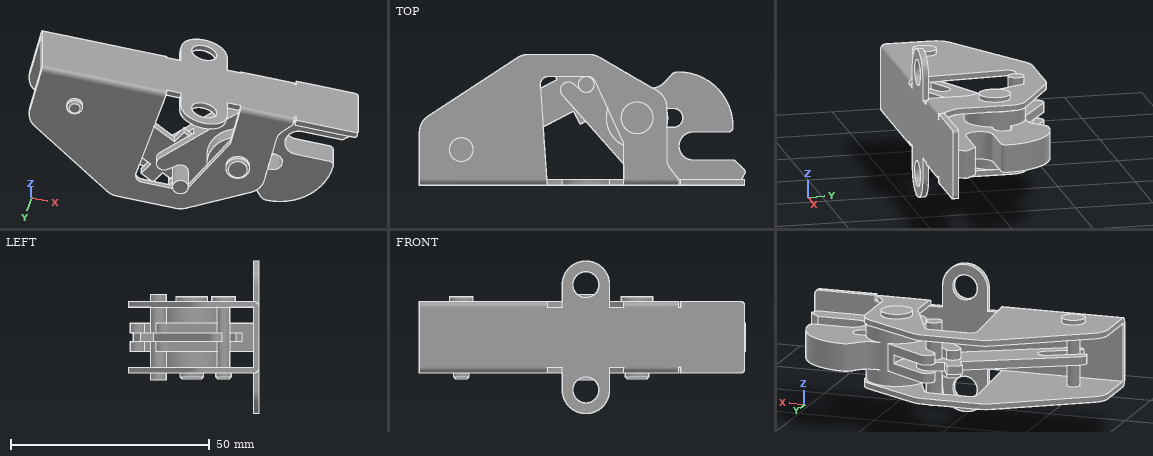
import cadquery as cq
import math


SHEET = 1.5
HOUSING_LENGTH = 82.0
HOUSING_WIDTH = 18.1
WALL_HEIGHT = 33.0
WALL_FOOT_END = 65.4
RELIEF = 0.5
TONGUE_CORNER = 1.0
LUG_X = 42.0
LUG_WIDTH = 12.0
LUG_SPAN = 38.5
LUG_HOLE = 6.5
HALF_WIDTH = HOUSING_WIDTH / 2
HALF_INSIDE = HALF_WIDTH - SHEET

WALL_END = 62.4
WALL_OUTLINE = [
    (0, 0, 0),
    (0, 16.0, 5),
    (26.0, WALL_HEIGHT, 5),
    (44.2, WALL_HEIGHT, 5),
    (WALL_END, 22.4, 5),
    (WALL_END, 5.3, 4),
    (WALL_FOOT_END, SHEET, 0),
    (WALL_FOOT_END, 0, 0),
]
WINDOW_END = 51.5
WINDOW_TOP = 27.4
WINDOW_OUTLINE = [
    (32.3, 0, 0),
    (32.2, SHEET, 0),
    (30.4, WINDOW_TOP, 2),
    (43.8, WINDOW_TOP, 2),
    (WINDOW_END, 10.6, 2),
    (WINDOW_END, 0, 0),
]

PIVOT = (54.9, 17.0)
PIVOT_SHAFT = 5.0
PIVOT_HEAD = 8.0
PIVOT_TAIL = 6.0
ANCHOR = (10.6, 9.0)
ANCHOR_SHAFT = 3.2
ANCHOR_HEAD = 6.0
ANCHOR_TAIL = 4.0
HEAD_HEIGHT = 1.2
TAIL_HEIGHT = 1.5
TAIL_CHAMFER = 0.6

PIN = (42.1, 25.4)
PIN_DIAMETER = 4.0
PIN_LENGTH = 21.6
LATCH_THICKNESS = 2.2
LATCH_WIDTH = 9.0
LATCH_OVERHANG = 3.0
LATCH_SLOT = 4.0
LATCH_TRAVEL = 7.0
FORK_TIP_RADIUS = 2.0
SHOULDER_WIDTH = 16.4
SHOULDER_LENGTH = 4.0
SHOULDER_TO_PIN = 6.0

JAW_THICKNESS = 7.2
JAW_HUB = 15.5
JAW_TIP_X = 82.35
JAW_TIP_Y = 3.6
JAW_TIP_RADIUS = 0.8
JAW_TOE_X = 81.3
LIP_CHAMFER_X = 79.4
THROAT_WIDTH = 7.0
THROAT_Y = 9.9
THROAT_END = 65.5
CROWN_RADIUS = 13.8
CROWN_TOP = 28.6
CROWN_END = 79.1
CROWN_START = 64.2
CROWN_START_RADIUS = 2.4
CROWN_LIP_RADIUS = 1.25
NECK_Y = 24.5
NECK_START = 55.0
NECK_END = 60.5
NECK_RADIUS = 5.0
NAPE = (50.5, 27.5)
FINGER_RADIUS = 2.0
FORK_ANGLE = 139.0
LOWER_FINGER_LENGTH = 2.5
UPPER_FINGER_LENGTH = 3.2
EYE_WIDTH = 4.7
EYE_START = 62.4
EYE_END = 66.4
LATCH_RECESS_RADIUS = 10.4

TOUCHING = 1e-6


def rounded_polygon(corners):
    """Closed outline through (x, y, radius) corners, each rounded by a tangent arc."""
    path = None
    last = None
    count = len(corners)
    for i in range(count):
        x, y, radius = corners[i]
        corner = cq.Vector(x, y)
        to_previous = (cq.Vector(*corners[i - 1][:2]) - corner).normalized()
        to_next = (cq.Vector(*corners[(i + 1) % count][:2]) - corner).normalized()
        half_angle = to_previous.getAngle(to_next) / 2
        setback = radius / math.tan(half_angle)
        start = corner + to_previous * setback
        end = corner + to_next * setback
        bisector = (to_previous + to_next).normalized()
        middle = corner + bisector * (radius / math.sin(half_angle) - radius)
        if path is None:
            path = cq.Workplane("XY").moveTo(start.x, start.y)
        elif (start - last).Length > TOUCHING:
            path = path.lineTo(start.x, start.y)
        if radius > 0:
            path = path.threePointArc((middle.x, middle.y), (end.x, end.y))
        last = end
    return path.close()


def plate(corners, thickness):
    """Flat plate of a rounded outline, centred on the middle plane."""
    return rounded_polygon(corners).extrude(thickness / 2, both=True)


def disc(centre, diameter, thickness):
    """Cylinder along Z, centred on the middle plane."""
    return cq.Workplane("XY").center(*centre).circle(diameter / 2).extrude(thickness / 2, both=True)


def slot(start, end, width, thickness):
    """Round-ended bar between two centres, centred on the middle plane."""
    run = cq.Vector(*end) - cq.Vector(*start)
    angle = math.degrees(math.atan2(run.y, run.x))
    return (
        cq.Workplane("XY")
        .center((start[0] + end[0]) / 2, (start[1] + end[1]) / 2)
        .transformed(rotate=(0, 0, angle))
        .slot2D(run.Length + width, width)
        .extrude(thickness / 2, both=True)
    )


def offset_point(origin, angle, along, across):
    """Point a distance along a direction and across it (to its left)."""
    cosine = math.cos(math.radians(angle))
    sine = math.sin(math.radians(angle))
    return (
        origin[0] + along * cosine - across * sine,
        origin[1] + along * sine + across * cosine,
    )


def tangent_point(outside, centre, radius, side):
    """Where a line from an outside point touches a circle; side is +1 (left) or -1 (right)."""
    to_outside = cq.Vector(*outside) - cq.Vector(*centre)
    angle = math.degrees(math.atan2(to_outside.y, to_outside.x))
    angle -= side * math.degrees(math.acos(radius / to_outside.Length))
    return offset_point(centre, angle, radius, 0)


def make_housing():
    channel = (
        cq.Workplane("XY")
        .box(WALL_FOOT_END, WALL_HEIGHT, HOUSING_WIDTH, centered=(False, False, True))
        .edges("|X and <Y")
        .fillet(SHEET)
    )
    inside = (
        cq.Workplane("XY")
        .box(WALL_FOOT_END, WALL_HEIGHT, 2 * HALF_INSIDE, centered=(False, False, True))
        .translate((0, SHEET, 0))
    )
    body = channel.intersect(plate(WALL_OUTLINE, HOUSING_WIDTH)).cut(inside)

    base_strip = (
        cq.Workplane("XY")
        .box(HOUSING_LENGTH, SHEET, 2 * HALF_INSIDE, centered=(False, False, True))
    )
    body = body.cut(plate(WINDOW_OUTLINE, HOUSING_WIDTH)).union(base_strip)

    tongue_start = WALL_FOOT_END + RELIEF
    tongue = (
        cq.Workplane("XY")
        .box(HOUSING_LENGTH - tongue_start, SHEET, HOUSING_WIDTH, centered=(False, False, True))
        .translate((tongue_start, 0, 0))
        .edges("|Y and >X")
        .fillet(TONGUE_CORNER)
    )
    body = body.union(tongue)

    hole_spacing = LUG_SPAN - LUG_WIDTH
    lugs = (
        cq.Workplane("XZ", origin=(LUG_X, SHEET, 0))
        .slot2D(LUG_SPAN, LUG_WIDTH, 90)
        .extrude(SHEET)
    )
    holes = (
        cq.Workplane("XZ", origin=(LUG_X, SHEET, 0))
        .pushPoints([(0, -hole_spacing / 2), (0, hole_spacing / 2)])
        .circle(LUG_HOLE / 2)
        .extrude(SHEET)
    )
    body = body.union(lugs).cut(holes)

    body = body.cut(disc(PIVOT, PIVOT_SHAFT, HOUSING_WIDTH))
    return body.cut(disc(ANCHOR, ANCHOR_SHAFT, HOUSING_WIDTH))


def make_rivet(centre, shaft, head, tail):
    """Rivet with a flat head above the housing and a chamfered tail below it."""
    body = disc(centre, shaft, HOUSING_WIDTH)
    head_disc = (
        cq.Workplane("XY", origin=(*centre, HALF_WIDTH))
        .circle(head / 2)
        .extrude(HEAD_HEIGHT)
    )
    tail_disc = (
        cq.Workplane("XY", origin=(*centre, -HALF_WIDTH))
        .circle(tail / 2)
        .extrude(-TAIL_HEIGHT)
        .edges("<Z")
        .chamfer(TAIL_CHAMFER)
    )
    return body.union(head_disc).union(tail_disc)


def make_latch():
    """Built along X from the anchor rivet, then turned to point at the cross pin."""
    run = cq.Vector(*PIN) - cq.Vector(*ANCHOR)
    angle = math.degrees(math.atan2(run.y, run.x))
    reach = run.Length
    half = LATCH_WIDTH / 2
    bar = plate(
        [
            (-LATCH_OVERHANG, -half, FORK_TIP_RADIUS),
            (reach, -half, 0),
            (reach, half, 0),
            (-LATCH_OVERHANG, half, FORK_TIP_RADIUS),
        ],
        LATCH_THICKNESS,
    )
    pin_eye = disc((reach, 0), LATCH_WIDTH, LATCH_THICKNESS)
    shoulder = (
        cq.Workplane("XY")
        .box(SHOULDER_LENGTH, SHOULDER_WIDTH, LATCH_THICKNESS, centered=(False, True, True))
        .translate((reach - SHOULDER_TO_PIN, 0, 0))
    )
    open_slot = slot(
        (-LATCH_OVERHANG - LATCH_SLOT, 0), (LATCH_TRAVEL, 0), LATCH_SLOT, LATCH_THICKNESS
    )
    cross_pin = disc((reach, 0), PIN_DIAMETER, PIN_LENGTH)
    latch = bar.union(pin_eye).union(shoulder).cut(open_slot).union(cross_pin)
    return latch.rotate((0, 0, 0), (0, 0, 1), angle).translate((*ANCHOR, 0))


def make_jaw():
    finger_offset = PIN_DIAMETER / 2 + FINGER_RADIUS
    lower_tip = offset_point(PIN, FORK_ANGLE, LOWER_FINGER_LENGTH, finger_offset)
    upper_tip = offset_point(PIN, FORK_ANGLE, UPPER_FINGER_LENGTH, -finger_offset)
    heel = (PIVOT[0], SHEET)
    throat_low = THROAT_Y - THROAT_WIDTH / 2
    throat_high = THROAT_Y + THROAT_WIDTH / 2

    body = plate(
        [
            (*heel, 0),
            (*tangent_point(heel, lower_tip, FINGER_RADIUS, 1), 0),
            (*lower_tip, 0),
            (*upper_tip, 0),
            (*tangent_point(NAPE, upper_tip, FINGER_RADIUS, -1), 0),
            (*NAPE, 0),
            (NECK_START, NECK_Y, 0),
            (NECK_END, NECK_Y, NECK_RADIUS),
            (CROWN_START, CROWN_TOP, CROWN_START_RADIUS),
            (CROWN_END, CROWN_TOP, CROWN_RADIUS),
            (CROWN_END, throat_high, CROWN_LIP_RADIUS),
            (THROAT_END, throat_high, THROAT_WIDTH / 2),
            (THROAT_END, throat_low, THROAT_WIDTH / 2),
            (LIP_CHAMFER_X, throat_low, 0),
            (JAW_TIP_X, JAW_TIP_Y, JAW_TIP_RADIUS),
            (JAW_TOE_X, SHEET, 0),
        ],
        JAW_THICKNESS,
    )
    for tip in (lower_tip, upper_tip):
        body = body.union(disc(tip, 2 * FINGER_RADIUS, JAW_THICKNESS))
    fork_mouth = offset_point(PIN, FORK_ANGLE, LATCH_RECESS_RADIUS, 0)
    body = body.cut(slot(PIN, fork_mouth, PIN_DIAMETER, JAW_THICKNESS))

    eye_inset = EYE_WIDTH / 2
    body = body.cut(
        slot((EYE_START, PIVOT[1]), (EYE_END - eye_inset, PIVOT[1]), EYE_WIDTH, JAW_THICKNESS)
    )

    body = body.union(disc(PIVOT, JAW_HUB, 2 * HALF_INSIDE))
    body = body.cut(disc(PIVOT, PIVOT_SHAFT, 2 * HALF_INSIDE))
    return body.cut(disc(PIN, 2 * LATCH_RECESS_RADIUS, LATCH_THICKNESS))


housing = make_housing()
pivot_rivet = make_rivet(PIVOT, PIVOT_SHAFT, PIVOT_HEAD, PIVOT_TAIL)
anchor_rivet = make_rivet(ANCHOR, ANCHOR_SHAFT, ANCHOR_HEAD, ANCHOR_TAIL)
latch = make_latch()
jaw = make_jaw()

result = cq.Compound.makeCompound([
    housing.val(),
    pivot_rivet.val(),
    anchor_rivet.val(),
    latch.val(),
    jaw.val(),
])